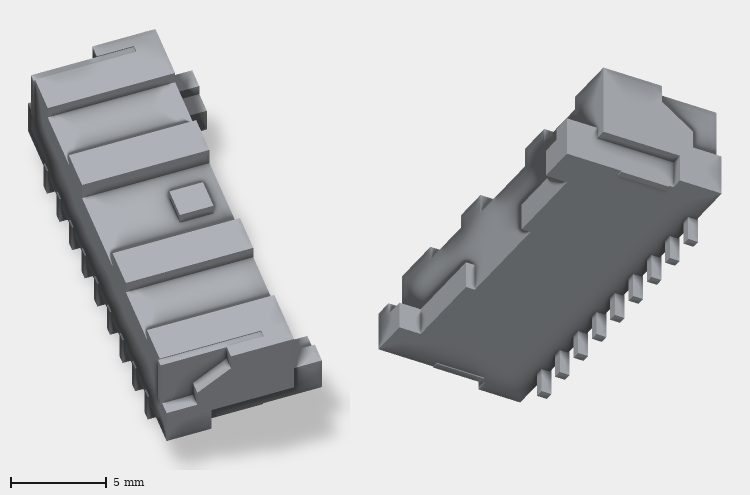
import cadquery as cq


length = 22.0
depth = 7.1
height = 5.7
half_length = length / 2

side_channel_inner = 4.53
side_channel_outer = 7.88
side_channel_depth = 0.8
middle_channel_width = 4.85
middle_channel_depth = 1.12

key_width = 1.67
key_length = 1.87
key_height = 0.65
key_back_gap = 0.92

end_inset = 0.7
cut_upper_length = 3.59
cut_lower_length = 1.72
slope_top_drop = 1.01
slope_bottom_drop = 2.3
cut_depth = 3.32

blade_thickness = 0.4
blade_top_drop = 0.07
blade_back_gap = 1.45
front_projection = 0.09
foot_front = 2.77
foot_back = 5.63
foot_projection = 0.07

recess_front = 2.5
recess_height = 1.58

lug_length = 1.8
lug_height = 2.27
lug_width = 1.12
lug_base_width = 2.3
ledge_width = 4.95
ledge_length = 0.53
ledge_height = recess_height

pin_count = 9
pin_pitch = 2.0
pin_width = 0.5
pin_thickness = 0.6
pin_drop = 1.4
pin_rise = 0.53


def box(x_range, y_range, z_range):
    """Box spanning three (low, high) ranges."""
    size = [high - low for low, high in (x_range, y_range, z_range)]
    corner = (x_range[0], y_range[0], z_range[0])
    return cq.Workplane("XY").box(*size, centered=False).translate(corner)


def both_ends(left):
    """A left-end feature together with its mirror image at the right end."""
    return left.union(left.mirror("YZ"))


def housing():
    """Block with three channels along Y in its top and a key in the middle one."""
    across = (0, depth)
    middle_floor = height - middle_channel_depth
    side_channel = box(
        (-side_channel_outer, -side_channel_inner), across, (height - side_channel_depth, height)
    )
    middle_channel = box(
        (-middle_channel_width / 2, middle_channel_width / 2), across, (middle_floor, height)
    )
    key_back = depth - key_back_gap
    key = box(
        (-key_width / 2, key_width / 2),
        (key_back - key_length, key_back),
        (middle_floor, middle_floor + key_height),
    )
    block = box((-half_length, half_length), across, (0, height))
    return block.cut(both_ends(side_channel)).cut(middle_channel).union(key)


def end_cut():
    """Front upper corner removed from the left end, with a sloping step."""
    profile = [
        (0, height),
        (cut_upper_length, height),
        (cut_upper_length, height - slope_top_drop),
        (cut_lower_length, height - slope_bottom_drop),
        (cut_lower_length, height - cut_depth),
        (0, height - cut_depth),
    ]
    outline = cq.Workplane("YZ", origin=(-half_length, 0, 0)).polyline(profile).close()
    return outline.extrude(end_inset)


inset_face = -half_length + end_inset
blade_span = (inset_face, inset_face + blade_thickness)


def end_recess():
    """Lower rear corner removed from the left end."""
    return box((-half_length, inset_face), (recess_front, depth), (0, recess_height))


def blade_groove():
    """Shallow slot above the top edge of the blade."""
    return box(blade_span, (0, depth - blade_back_gap), (height - blade_top_drop, height))


def blade_edge():
    """Front edge of the blade, standing proud of the front wall."""
    return box(blade_span, (-front_projection, 0), (height - cut_depth, height - blade_top_drop))


def blade_foot():
    """Foot of the blade, standing proud of the underside."""
    return box(blade_span, (foot_front, foot_back), (-foot_projection, 0))


def rear_lug():
    """Tall outer lug, low inner lug and the narrow ledge along the back wall."""
    base_end = inset_face + lug_base_width
    lug_back = (depth, depth + lug_length)
    tall = box((inset_face, inset_face + lug_width), lug_back, (0, lug_height))
    low = box((inset_face, base_end), lug_back, (0, ledge_height))
    ledge = box(
        (inset_face, base_end + ledge_width), (depth, depth + ledge_length), (0, ledge_height)
    )
    return tall.union(low).union(ledge)


def pin(x):
    """Vertical pin centred at x, set slightly proud of the front wall."""
    return box(
        (x - pin_width / 2, x + pin_width / 2),
        (-front_projection, pin_thickness - front_projection),
        (-pin_drop, pin_rise),
    )


result = housing()
for pocket in (end_cut(), end_recess(), blade_groove()):
    result = result.cut(both_ends(pocket))
for feature in (blade_edge(), blade_foot(), rear_lug()):
    result = result.union(both_ends(feature))
for index in range(pin_count):
    result = result.union(pin((index - (pin_count - 1) / 2) * pin_pitch))